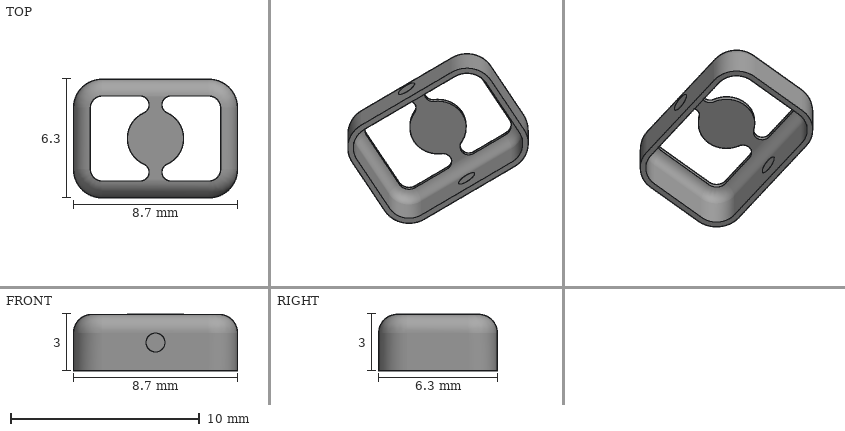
import cadquery as cq
import math

LENGTH = 8.7
WIDTH = 6.3
HEIGHT = 3.0
CORNER_RADIUS = 1.52
TOP_EDGE_RADIUS = 1.0
WALL = 0.3

WINDOW_INSET = 0.905
DISC_RADIUS = 1.5
NECK_FILLET_RADIUS = 0.46

PIN_DIAMETER = 1.0
PIN_HEIGHT = HEIGHT / 2


def rounded_cap(inset):
    """Solid cap whose sides and top lie `inset` inside the outer surface."""
    return (
        cq.Workplane("XY")
        .rect(LENGTH - 2 * inset, WIDTH - 2 * inset)
        .extrude(HEIGHT - inset)
        .edges("|Z")
        .fillet(CORNER_RADIUS - inset)
        .faces(">Z")
        .edges()
        .fillet(TOP_EDGE_RADIUS - inset)
    )


def disc_bridge():
    """Disc and flared necks that span the window, as a full-height prism."""
    window_half_width = WIDTH / 2 - WINDOW_INSET
    arc_y = window_half_width - NECK_FILLET_RADIUS
    arc_x = math.sqrt((DISC_RADIUS + NECK_FILLET_RADIUS) ** 2 - arc_y**2)
    neck_x = arc_x - NECK_FILLET_RADIUS
    tangent_ratio = DISC_RADIUS / (DISC_RADIUS + NECK_FILLET_RADIUS)
    tangent_x = arc_x * tangent_ratio
    tangent_y = arc_y * tangent_ratio
    return (
        cq.Workplane("XY")
        .moveTo(-arc_x, window_half_width)
        .lineTo(arc_x, window_half_width)
        .threePointArc((neck_x, arc_y), (tangent_x, tangent_y))
        .threePointArc((DISC_RADIUS, 0), (tangent_x, -tangent_y))
        .threePointArc((neck_x, -arc_y), (arc_x, -window_half_width))
        .lineTo(-arc_x, -window_half_width)
        .threePointArc((-neck_x, -arc_y), (-tangent_x, -tangent_y))
        .threePointArc((-DISC_RADIUS, 0), (-tangent_x, tangent_y))
        .threePointArc((-neck_x, arc_y), (-arc_x, window_half_width))
        .close()
        .extrude(HEIGHT)
    )


def window():
    """Two-part opening left on either side of the disc bridge."""
    opening = (
        cq.Workplane("XY")
        .rect(LENGTH - 2 * WINDOW_INSET, WIDTH - 2 * WINDOW_INSET)
        .extrude(HEIGHT)
        .edges("|Z")
        .fillet(CORNER_RADIUS - WINDOW_INSET)
    )
    return opening.cut(disc_bridge())


def make_pin(side):
    """Pin flush with both faces of the long wall on the given Y side (-1 or 1)."""
    outer_face_y = side * WIDTH / 2
    return (
        cq.Workplane("XZ", origin=(0, outer_face_y, PIN_HEIGHT))
        .circle(PIN_DIAMETER / 2)
        .extrude(side * WALL)
    )


def make_housing(pins):
    """Hollow cap with the window and a matching hole for each pin."""
    housing = rounded_cap(0).cut(rounded_cap(WALL)).cut(window())
    for pin in pins:
        housing = housing.cut(pin)
    return housing


pins = [make_pin(side) for side in (-1, 1)]
housing = make_housing(pins)

result = cq.Compound.makeCompound([housing.val(), *[pin.val() for pin in pins]])